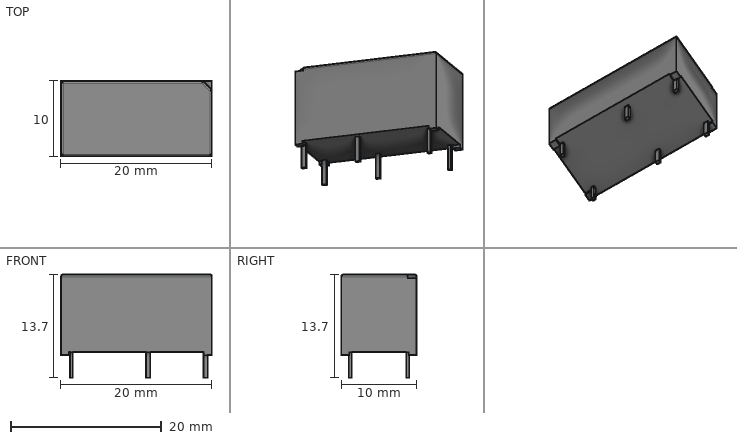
import cadquery as cq

length = 20.0
width = 10.0
total_height = 13.7
top_round = 0.3

mark_leg = 1.2
mark_depth = 0.5

foot_side = 1.05
foot_height = 0.4

pin_length = 3.0
pin_thickness = 0.42
pin_row_spacing = 7.62
thin_pin_width = 0.42
wide_pin_width = 0.6
first_pin_inset = 1.38
first_to_middle_pin = 10.15
middle_to_last_pin = 7.62
first_pin_x = first_pin_inset - length / 2
middle_pin_x = first_pin_x + first_to_middle_pin
last_pin_x = middle_pin_x + middle_to_last_pin
pins = [
    (first_pin_x, thin_pin_width),
    (middle_pin_x, wide_pin_width),
    (last_pin_x, wide_pin_width),
]

body_top = total_height - pin_length
body_height = body_top - foot_height


def make_body():
    """Box with the corner mark cut in and the rim of its top face rounded."""
    body = (
        cq.Workplane("XY", origin=(0, 0, foot_height))
        .rect(length, width)
        .extrude(body_height)
    )
    corner_x = length / 2
    corner_y = width / 2
    mark = (
        cq.Workplane("XY", origin=(0, 0, body_top - mark_depth))
        .moveTo(corner_x, corner_y)
        .lineTo(corner_x - mark_leg, corner_y)
        .lineTo(corner_x, corner_y - mark_leg)
        .close()
        .extrude(mark_depth)
    )
    return body.cut(mark).faces(">Z").edges().fillet(top_round)


def make_feet():
    """Four feet flush with the sides of the body."""
    return (
        cq.Workplane("XY")
        .rect(length - foot_side, width - foot_side, forConstruction=True)
        .vertices()
        .rect(foot_side, foot_side)
        .extrude(foot_height)
    )


def make_pin_pair(x, pin_width):
    """One pin in each row, reaching up to the underside of the body."""
    row_y = pin_row_spacing / 2
    return (
        cq.Workplane("XY", origin=(0, 0, -pin_length))
        .pushPoints([(x, -row_y), (x, row_y)])
        .rect(pin_width, pin_thickness)
        .extrude(pin_length + foot_height)
    )


result = make_body().union(make_feet())
for pin_x, pin_width in pins:
    result = result.union(make_pin_pair(pin_x, pin_width))